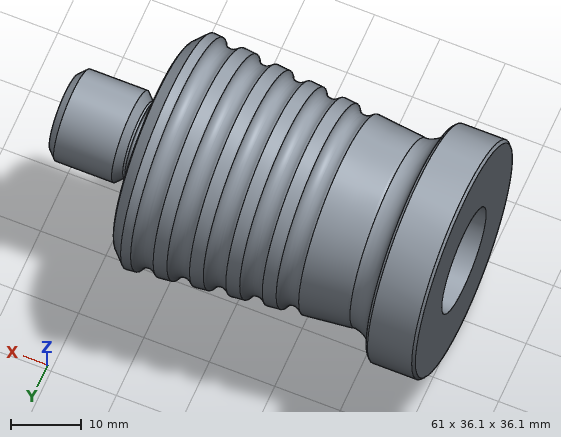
import cadquery as cq
import math


flange_radius = 18.05
flange_length = 7.5
flange_break = 0.4

taper_start_x = 11.75
taper_start_radius = 14.41
taper_angle = 5.8
waist_radius = 4.0
waist_bottom_radius = 14.32
waist_edge_break = 0.35
body_length = 47.1
body_chamfer = 2.1
body_edge_break = 0.2

groove_count = 5
groove_pitch = 16 / 3
first_groove_x = 20.6
groove_depth = 0.95
entry_radius = 2.0
entry_width = 1.4
exit_radius = 1.7
exit_width = 1.6
groove_edge_break = 0.3

overall_length = 61.0
neck_radius = 4.55
neck_fillet = 0.3
head_start_x = 49.4
head_radius = 6.95
head_chamfer = 1.2
head_shoulder = 0.35

bore_radius = 8.07
bore_depth = 30.0
bore_point_angle = 140.0

taper_slope = math.tan(math.radians(taper_angle))

waist_center_x = flange_length + waist_radius
waist_center_r = waist_bottom_radius + waist_radius
waist_end_x = taper_start_x - waist_edge_break


def taper_radius(x):
    """Radius of the plain taper at a position along the axis."""
    return taper_start_radius + (x - taper_start_x) * taper_slope


def arc_height(radius, offset):
    """Rise of an arc above its lowest point at a sideways offset."""
    return radius - math.sqrt(radius**2 - offset**2)


def add_flange(profile):
    """Flange with broken rims, followed by the concave waist up to the start of the taper."""
    waist_start_r = flange_radius - flange_break
    waist_start_x = waist_center_x - math.sqrt(waist_radius**2 - (waist_center_r - waist_start_r) ** 2)
    waist_middle_offset = waist_radius * math.sqrt(0.5)
    waist_middle = (waist_center_x - waist_middle_offset, waist_center_r - waist_middle_offset)
    waist_end_r = waist_bottom_radius + arc_height(waist_radius, waist_center_x - waist_end_x)
    return (
        profile.lineTo(0, flange_radius - flange_break)
        .lineTo(flange_break, flange_radius)
        .lineTo(waist_start_x - flange_break, flange_radius)
        .lineTo(waist_start_x, waist_start_r)
        .threePointArc(waist_middle, (waist_end_x, waist_end_r))
        .lineTo(taper_start_x, taper_start_radius)
    )


def add_groove(profile, x):
    """One ring groove: a shallow entry arc and a steeper exit arc meeting at its bottom."""
    bottom_r = taper_radius(x) - groove_depth
    start_x = x - entry_width
    end_x = x + exit_width
    crest_end_x = start_x - groove_edge_break
    crest_start_x = end_x + groove_edge_break
    return (
        profile.lineTo(crest_end_x, taper_radius(crest_end_x))
        .lineTo(start_x, bottom_r + arc_height(entry_radius, entry_width))
        .threePointArc(
            (x - entry_width / 2, bottom_r + arc_height(entry_radius, entry_width / 2)),
            (x, bottom_r),
        )
        .threePointArc(
            (x + exit_width / 2, bottom_r + arc_height(exit_radius, exit_width / 2)),
            (end_x, bottom_r + arc_height(exit_radius, exit_width)),
        )
        .lineTo(crest_start_x, taper_radius(crest_start_x))
    )


def add_grip_end(profile):
    """Chamfered end of the grip with a broken corner at the end face."""
    chamfer_x = body_length - body_chamfer
    chamfer_r = taper_radius(chamfer_x)
    end_r = chamfer_r - body_chamfer
    return (
        profile.lineTo(chamfer_x, chamfer_r)
        .lineTo(body_length - body_edge_break, end_r + body_edge_break)
        .lineTo(body_length, end_r - body_edge_break)
    )


def add_stud(profile):
    """Neck with small corner fillets and a cylindrical head chamfered at both ends."""
    fillet_mid = neck_fillet * (1 - math.sqrt(0.5))
    shoulder_r = head_radius - head_chamfer
    return (
        profile.lineTo(body_length, neck_radius + neck_fillet)
        .threePointArc(
            (body_length + fillet_mid, neck_radius + fillet_mid),
            (body_length + neck_fillet, neck_radius),
        )
        .lineTo(head_start_x - neck_fillet, neck_radius)
        .threePointArc(
            (head_start_x - fillet_mid, neck_radius + fillet_mid),
            (head_start_x, neck_radius + neck_fillet),
        )
        .lineTo(head_start_x, shoulder_r)
        .lineTo(head_start_x + head_shoulder, shoulder_r)
        .lineTo(head_start_x + head_shoulder + head_chamfer, head_radius)
        .lineTo(overall_length - head_chamfer, head_radius)
        .lineTo(overall_length, shoulder_r)
        .lineTo(overall_length, 0)
    )


def add_bore(profile):
    """Conical bottom and cylindrical wall of the bore, from its tip back to the open face."""
    point_length = bore_radius / math.tan(math.radians(bore_point_angle / 2))
    return (
        profile.lineTo(bore_depth + point_length, 0)
        .lineTo(bore_depth, bore_radius)
        .lineTo(0, bore_radius)
    )


outline = cq.Workplane("XY").moveTo(0, bore_radius)
outline = add_flange(outline)
for index in range(groove_count):
    outline = add_groove(outline, first_groove_x + index * groove_pitch)
outline = add_grip_end(outline)
outline = add_stud(outline)
outline = add_bore(outline)

result = outline.close().revolve(360, (0, 0, 0), (1, 0, 0))